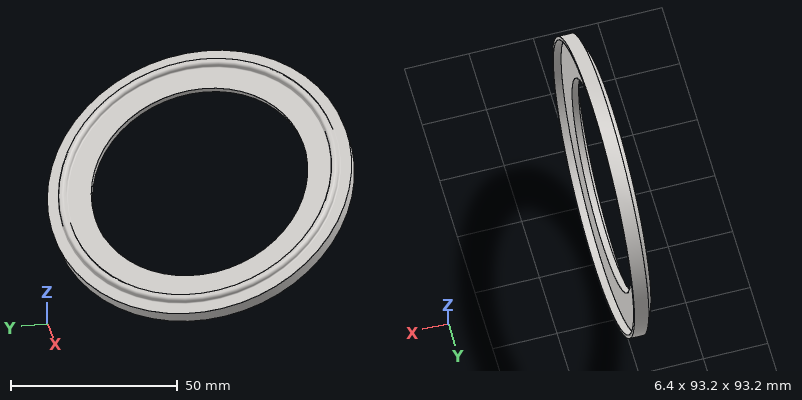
import cadquery as cq

outer_diameter = 93.2
bore_diameter = 66.2
total_thickness = 6.4

recess_diameter = 91.0
web_thickness = 2.05

bead_outer_diameter = 85.9
bead_inner_diameter = 81.1
bead_height = 2.0
root_fillet = 0.5

ring_thickness = total_thickness - bead_height
bead_outer_radius = bead_outer_diameter / 2
bead_inner_radius = bead_inner_diameter / 2
crown_radius = (bead_outer_radius - bead_inner_radius) / 2
bead_center_radius = (bead_outer_radius + bead_inner_radius) / 2
crown_center_x = crown_radius - bead_height


def make_ring():
    """Recessed ring with its -X face on the plane X = 0."""
    ring = (
        cq.Workplane("YZ")
        .circle(outer_diameter / 2)
        .circle(bore_diameter / 2)
        .extrude(ring_thickness)
    )
    recess = (
        cq.Workplane("YZ", origin=(web_thickness, 0, 0))
        .circle(recess_diameter / 2)
        .extrude(ring_thickness - web_thickness)
    )
    return ring.cut(recess)


def make_bead():
    """Revolve the bead section, with concave fillets at its root, about X."""
    fillet_mid = root_fillet * (1 - 0.5**0.5)
    section = (
        cq.Workplane("XY")
        .moveTo(0, bead_outer_radius + root_fillet)
        .threePointArc(
            (-fillet_mid, bead_outer_radius + fillet_mid),
            (-root_fillet, bead_outer_radius),
        )
        .lineTo(crown_center_x, bead_outer_radius)
        .threePointArc(
            (-bead_height, bead_center_radius),
            (crown_center_x, bead_inner_radius),
        )
        .lineTo(-root_fillet, bead_inner_radius)
        .threePointArc(
            (-fillet_mid, bead_inner_radius - fillet_mid),
            (0, bead_inner_radius - root_fillet),
        )
        .lineTo(web_thickness / 2, bead_inner_radius - root_fillet)
        .lineTo(web_thickness / 2, bead_outer_radius + root_fillet)
        .close()
    )
    return section.revolve(360, (0, 0, 0), (1, 0, 0))


result = make_ring().union(make_bead())